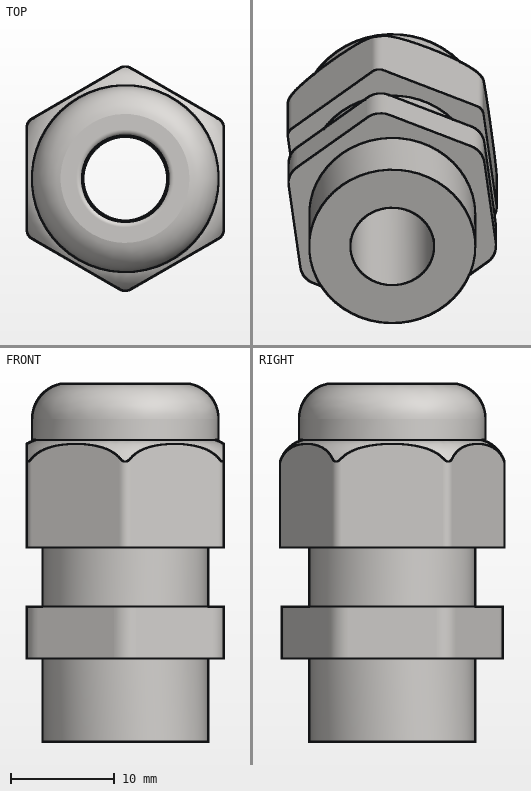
import cadquery as cq
import math

ACROSS_FLATS = 19.0
HEX_DIAMETER = ACROSS_FLATS / math.cos(math.radians(30))
BODY_RADIUS = 8.0

COLLAR_BOTTOM = 8.0
COLLAR_HEIGHT = 5.0
COLLAR_CORNER_RADIUS = 2.1
BODY_BORE_RADIUS = 4.05
BODY_TOP = 30.12

CAP_BOTTOM = 18.7
CAP_TOP = 34.5
CAP_CORNER_RADIUS = 1.05
HEX_TOP = 29.1
CROWN_START = 26.98
CROWN_TOP_RADIUS = 8.65
CROWN_BULGE = 0.38
DOME_RADIUS = 9.0
DOME_BEND_START = 31.1
DOME_BEND_RADIUS = 3.5

MOUTH_RADIUS = 4.17
MOUTH_FILLET = 0.52
MOUTH_CONE_TOP = 32.7
MOUTH_CONE_BOTTOM = 30.75
MOUTH_CONE_RADIUS = 5.38


def hex_prism(bottom, height, corner_radius):
    """Hexagon with rounded corners and flats facing +X and -X."""
    prism = cq.Workplane("XY").workplane(offset=bottom).polygon(6, HEX_DIAMETER).extrude(height)
    return prism.edges("|Z").fillet(corner_radius).rotate((0, 0, 0), (0, 0, 1), 30)


def cylinder(radius, bottom, top):
    return cq.Workplane("XY").workplane(offset=bottom).circle(radius).extrude(top - bottom)


def make_body():
    barrel = cylinder(BODY_RADIUS, 0, BODY_TOP)
    collar = hex_prism(COLLAR_BOTTOM, COLLAR_HEIGHT, COLLAR_CORNER_RADIUS)
    return barrel.union(collar).cut(cylinder(BODY_BORE_RADIUS, 0, BODY_TOP))


def make_hex_skirt():
    """Hexagonal lower part of the cap nut, with its top corners turned round."""
    prism = hex_prism(CAP_BOTTOM, HEX_TOP - CAP_BOTTOM, CAP_CORNER_RADIUS)
    corner_reach = HEX_DIAMETER / 2 - CAP_CORNER_RADIUS * (HEX_DIAMETER / ACROSS_FLATS - 1)
    crown_run = corner_reach - CROWN_TOP_RADIUS
    crown_rise = HEX_TOP - CROWN_START
    bulge_ratio = CROWN_BULGE / math.hypot(crown_run, crown_rise)
    crown_middle = (
        (corner_reach + CROWN_TOP_RADIUS) / 2 + bulge_ratio * crown_rise,
        (CROWN_START + HEX_TOP) / 2 + bulge_ratio * crown_run,
    )
    envelope = (
        cq.Workplane("XZ")
        .moveTo(0, CAP_BOTTOM)
        .lineTo(corner_reach, CAP_BOTTOM)
        .lineTo(corner_reach, CROWN_START)
        .threePointArc(crown_middle, (CROWN_TOP_RADIUS, HEX_TOP))
        .lineTo(0, HEX_TOP)
        .close()
        .revolve(360, (0, 0, 0), (0, 1, 0))
    )
    return prism.intersect(envelope)


def make_dome():
    """Round upper part of the cap nut."""
    bend_center = DOME_RADIUS - DOME_BEND_RADIUS
    end_angle = math.asin((CAP_TOP - DOME_BEND_START) / DOME_BEND_RADIUS)
    bend_middle = (
        bend_center + DOME_BEND_RADIUS * math.cos(end_angle / 2),
        DOME_BEND_START + DOME_BEND_RADIUS * math.sin(end_angle / 2),
    )
    bend_end = (bend_center + DOME_BEND_RADIUS * math.cos(end_angle), CAP_TOP)
    return (
        cq.Workplane("XZ")
        .moveTo(0, HEX_TOP)
        .lineTo(DOME_RADIUS, HEX_TOP)
        .lineTo(DOME_RADIUS, DOME_BEND_START)
        .threePointArc(bend_middle, bend_end)
        .lineTo(0, CAP_TOP)
        .close()
        .revolve(360, (0, 0, 0), (0, 1, 0))
    )


def make_mouth():
    """Opening with a rounded rim, widening downward to a short straight wall."""
    rim_radius = MOUTH_RADIUS + MOUTH_FILLET
    fillet_reach = MOUTH_FILLET * math.sqrt(0.5)
    return (
        cq.Workplane("XZ")
        .moveTo(0, BODY_TOP)
        .lineTo(MOUTH_CONE_RADIUS, BODY_TOP)
        .lineTo(MOUTH_CONE_RADIUS, MOUTH_CONE_BOTTOM)
        .lineTo(MOUTH_RADIUS, MOUTH_CONE_TOP)
        .lineTo(MOUTH_RADIUS, CAP_TOP - MOUTH_FILLET)
        .threePointArc(
            (rim_radius - fillet_reach, CAP_TOP - MOUTH_FILLET + fillet_reach),
            (rim_radius, CAP_TOP),
        )
        .lineTo(0, CAP_TOP)
        .close()
        .revolve(360, (0, 0, 0), (0, 1, 0))
    )


def make_cap_nut():
    socket = cylinder(BODY_RADIUS, CAP_BOTTOM, BODY_TOP)
    return make_hex_skirt().union(make_dome()).cut(socket).cut(make_mouth())


body = make_body()
cap_nut = make_cap_nut()

result = cq.Compound.makeCompound([body.val(), cap_nut.val()])